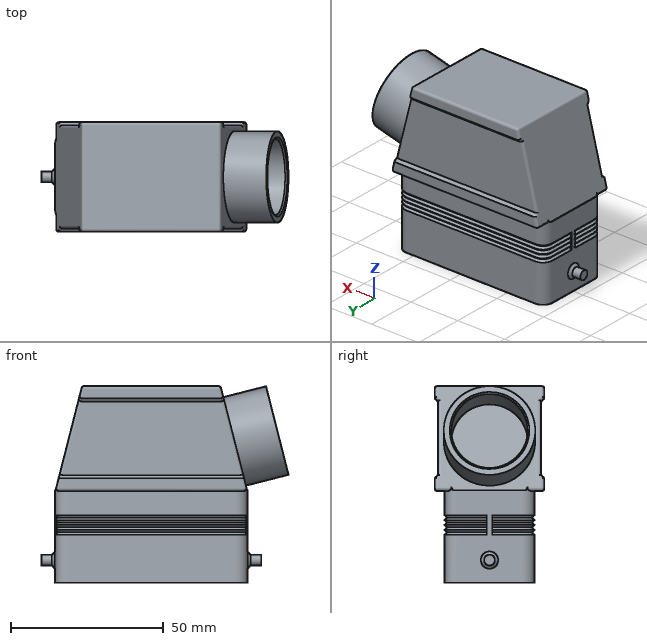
import cadquery as cq
import math

BODY_LENGTH = 63.2
BODY_WIDTH = 29.5
BODY_CORNER = 4.05
BODY_TOP = 30.3

HOOD_WIDTH = 36.0
HOOD_BOTTOM = 30.1
HOOD_TOP = 64.5
HOOD_TOP_LENGTH = 45.4
END_SLOPE = 14.3
HOOD_FILLET = 1.0

RECESS_DEPTH = 1.05
RECESS_BOTTOM = 34.3
RECESS_TOP = 60.5

GROOVE_COUNT = 4
GROOVE_PITCH = 1.6
GROOVE_DEPTH = 0.8
GROOVE_BAND_BOTTOM = 15.7
GROOVE_GAP = 1.8

PIN_SPAN = 72.1
PIN_RADIUS = 1.8
PIN_HEIGHT = 7.45
COLLAR_RADIUS = 2.8
COLLAR_LENGTH = 1.0

ENTRY_RADIUS = 15.0
ENTRY_BORE_RADIUS = 12.5
ENTRY_CHAMFER = 0.6
ENTRY_REACH = 14.4
ENTRY_CENTRE_HEIGHT = 46.4


def slope_half_length(height):
    """Half the hood length along X at the given height."""
    return HOOD_TOP_LENGTH / 2 + (HOOD_TOP - height) * math.tan(math.radians(END_SLOPE))


def make_rounded_prism(bottom, top):
    """Body outline extruded between two heights."""
    return (
        cq.Workplane("XY", origin=(0, 0, bottom))
        .rect(BODY_LENGTH, BODY_WIDTH)
        .extrude(top - bottom)
        .edges("|Z")
        .fillet(BODY_CORNER)
    )


def make_trapezoid():
    """Hood block with sloping ends and plain sides."""
    bottom_half = slope_half_length(HOOD_BOTTOM)
    top_half = HOOD_TOP_LENGTH / 2
    return (
        cq.Workplane("XZ", origin=(0, HOOD_WIDTH / 2, 0))
        .moveTo(-bottom_half, HOOD_BOTTOM)
        .lineTo(bottom_half, HOOD_BOTTOM)
        .lineTo(top_half, HOOD_TOP)
        .lineTo(-top_half, HOOD_TOP)
        .close()
        .extrude(HOOD_WIDTH)
    )


def make_hood():
    """Trapezoid with recessed sides and rounded end, top and bottom edges."""
    hood = make_trapezoid()
    recess = (
        cq.Workplane("YZ", origin=(-BODY_LENGTH / 2, 0, 0))
        .moveTo(HOOD_WIDTH / 2, RECESS_BOTTOM)
        .lineTo(HOOD_WIDTH / 2 - RECESS_DEPTH, RECESS_BOTTOM + RECESS_DEPTH)
        .lineTo(HOOD_WIDTH / 2 - RECESS_DEPTH, RECESS_TOP - RECESS_DEPTH)
        .lineTo(HOOD_WIDTH / 2, RECESS_TOP)
        .close()
        .extrude(BODY_LENGTH)
    )
    hood = hood.cut(recess).cut(recess.mirror("XZ"))
    hood = hood.faces("<X or >X or <Z or >Z").edges().fillet(HOOD_FILLET)
    core = make_trapezoid().intersect(make_rounded_prism(HOOD_BOTTOM, HOOD_TOP - HOOD_FILLET))
    return hood.union(core)


def make_groove(bottom):
    """Ring that cuts one V groove, left whole across the gaps at both ends."""
    half_pitch = GROOVE_PITCH / 2
    top = bottom + GROOVE_PITCH
    taper = math.degrees(math.atan2(GROOVE_DEPTH, half_pitch))
    outline = cq.Sketch().rect(BODY_LENGTH, BODY_WIDTH).vertices().fillet(BODY_CORNER)
    ring = make_rounded_prism(bottom, top)
    for start, direction in ((bottom, 1), (top, -1)):
        core = (
            cq.Workplane("XY", origin=(0, 0, start))
            .placeSketch(outline)
            .extrude(direction * half_pitch, taper=taper)
        )
        ring = ring.cut(core)
    gap = cq.Workplane("XY", origin=(0, 0, bottom)).box(2 * BODY_LENGTH, GROOVE_GAP, 3 * GROOVE_PITCH)
    return ring.cut(gap)


def make_body():
    body = make_rounded_prism(0, BODY_TOP)
    for index in range(GROOVE_COUNT):
        body = body.cut(make_groove(GROOVE_BAND_BOTTOM + index * GROOVE_PITCH))
    return body


def make_pins():
    """One stepped shaft right through the body, showing a pin at both ends."""
    shaft = (
        cq.Workplane("YZ", origin=(-PIN_SPAN / 2, 0, PIN_HEIGHT))
        .circle(PIN_RADIUS)
        .extrude(PIN_SPAN)
    )
    for side in (-1, 1):
        collar = cq.Solid.makeCone(
            COLLAR_RADIUS,
            PIN_RADIUS,
            COLLAR_LENGTH,
            pnt=cq.Vector(side * BODY_LENGTH / 2, 0, PIN_HEIGHT),
            dir=cq.Vector(side, 0, 0),
        )
        shaft = shaft.union(cq.Workplane(collar))
    return shaft


def add_cable_entry(part):
    """Tube square to the +X slope, with a blind bore ending at that slope."""
    angle = math.radians(END_SLOPE)
    entry_plane = cq.Plane(
        origin=(slope_half_length(ENTRY_CENTRE_HEIGHT), 0, ENTRY_CENTRE_HEIGHT),
        xDir=(0, 1, 0),
        normal=(math.cos(angle), 0, math.sin(angle)),
    )
    tube = (
        cq.Workplane(entry_plane)
        .workplane(offset=-HOOD_FILLET)
        .circle(ENTRY_RADIUS)
        .extrude(ENTRY_REACH + HOOD_FILLET)
    )
    bore = cq.Workplane(entry_plane).circle(ENTRY_BORE_RADIUS).extrude(ENTRY_REACH)
    mouth = (
        cq.Workplane(entry_plane)
        .workplane(offset=ENTRY_REACH)
        .circle(ENTRY_BORE_RADIUS + ENTRY_CHAMFER)
        .workplane(offset=-ENTRY_CHAMFER)
        .circle(ENTRY_BORE_RADIUS)
        .loft()
    )
    return part.union(tube).cut(bore).cut(mouth)


housing = make_body().union(make_hood()).union(make_pins())
result = add_cable_entry(housing)